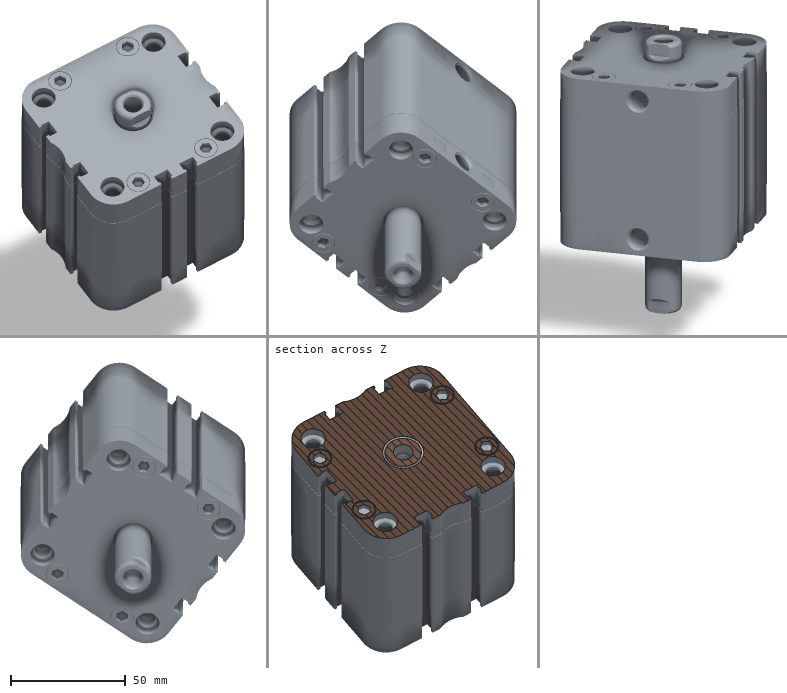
import cadquery as cq
import math

WIDTH = 77.0
CAP_HEIGHT = 13.9
BARREL_HEIGHT = 51.2
ROD_TOP_LENGTH = 8.0
ROD_BOTTOM_LENGTH = 38.0
HOUSING_TOP = BARREL_HEIGHT / 2 + CAP_HEIGHT
TOOL_OVERRUN = 1.2

CORNER_RADIUS = 11.9
CAP_INSET = 0.1
SLOT_OPENING = 5.2
SLOT_WIDTH = 6.8
SLOT_DEPTH = 5.2
SLOT_LIP = 1.6
SIDE_SLOT_OFFSET = 12.9
END_SLOT_OFFSET = 6.5
GROOVE_HALF_WIDTH = 6.0
GROOVE_DEPTH = 1.5
RIDGE_ROUND = 0.2

MOUNT_OFFSET = 28.2
MOUNT_COUNTERBORE = 10.5
MOUNT_COUNTERBORE_DEPTH = 4.5
MOUNT_HOLE = 6.6
MOUNT_CHAMFER = 0.6
SCREW_X = 32.1
SCREW_Y = 17.4
SCREW_HEAD = 9.8
SCREW_POCKET = 10.2
SCREW_GAP_DEPTH = 1.0
HEX_ACROSS_FLATS = 5.0
HEX_DEPTH = 3.0
PORT_DEPTH_BELOW_FACE = 7.5
PORT_HOLE = 8.6
PORT_MOUTH = 10.5
PORT_HOLE_DEPTH = 10.0
LABEL_OFFSET = 14.4
LABEL_WIDTH = 7.1
LABEL_HEIGHT = 5.0
LABEL_BELOW_FACE = 6.8
LABEL_DEPTH = 0.1
WIPER_RECESS = 17.8
WIPER_MOUTH = 18.0
WIPER_DEPTH = 1.0
ROD_CLEARANCE = 16.5

ROD_DIAMETER = 16.0
ROD_END_ROUND = 1.9
FLAT_ACROSS = 12.8
FLAT_LENGTH = 5.6
ROD_HOLE = 8.4
ROD_HOLE_MOUTH = 9.8
ROD_HOLE_DEPTH = 15.0
DRILL_TIP_HEIGHT = 2.5


def mirrored_positions(x, y):
    return [(sx * x, sy * y) for sx in (-1, 1) for sy in (-1, 1)]


def slot_cutter(height, inset):
    """T-slot opening through the face y = 0 towards -Y, centred on x = 0."""
    neck = (
        cq.Workplane("XY")
        .rect(SLOT_OPENING + 2 * inset, 2 * SLOT_LIP + 2 * inset)
        .extrude(height)
    )
    chamber_depth = SLOT_DEPTH - SLOT_LIP + 2 * inset
    chamber = (
        cq.Workplane("XY")
        .center(0, -SLOT_LIP + inset - chamber_depth / 2)
        .rect(SLOT_WIDTH + 2 * inset, chamber_depth)
        .extrude(height)
    )
    return neck.union(chamber)


def housing_block(height, inset):
    """Rounded square prism standing on z = 0 with the T-slots and hollow grooves along it."""
    half_width = WIDTH / 2
    side = WIDTH - 2 * inset
    block = (
        cq.Workplane("XY")
        .rect(side, side)
        .extrude(height)
        .edges("|Z")
        .fillet(CORNER_RADIUS - inset)
    )
    slot = slot_cutter(height, inset).translate((0, half_width, 0))
    for turn in (0, 180):
        for x in (-SIDE_SLOT_OFFSET, SIDE_SLOT_OFFSET):
            block = block.cut(slot.translate((x, 0, 0)).rotate((0, 0, 0), (0, 0, 1), turn))
    for x in (-END_SLOT_OFFSET, END_SLOT_OFFSET):
        block = block.cut(slot.translate((x, 0, 0)).rotate((0, 0, 0), (0, 0, 1), -90))

    groove_radius = (GROOVE_HALF_WIDTH**2 + GROOVE_DEPTH**2) / (2 * GROOVE_DEPTH)
    groove_centre = half_width - GROOVE_DEPTH + groove_radius
    grooves = (
        cq.Workplane("XY")
        .pushPoints([(0, -groove_centre), (0, groove_centre)])
        .circle(groove_radius + inset)
        .extrude(height)
    )
    return block.cut(grooves)


def cut_mounting_holes(cap):
    """Counterbored holes in the corners, chamfered at the counterbore floor."""
    hole_top = CAP_HEIGHT - MOUNT_COUNTERBORE_DEPTH
    radius = MOUNT_HOLE / 2
    mouth_radius = radius + MOUNT_CHAMFER
    counterbore_radius = MOUNT_COUNTERBORE / 2
    cutter = (
        cq.Workplane("XZ")
        .polyline([
            (0, 0),
            (radius, 0),
            (radius, hole_top - MOUNT_CHAMFER),
            (mouth_radius, hole_top),
            (counterbore_radius, hole_top),
            (counterbore_radius, CAP_HEIGHT),
            (0, CAP_HEIGHT),
        ])
        .close()
        .revolve(360, (0, 0, 0), (0, 1, 0))
    )
    for x, y in mirrored_positions(MOUNT_OFFSET, MOUNT_OFFSET):
        cap = cap.cut(cutter.translate((x, y, 0)))
    return cap


def cut_screw_heads(cap):
    """Ring gaps around the flush screw heads, and their hexagon sockets."""
    hex_corners = HEX_ACROSS_FLATS / math.cos(math.pi / 6)
    for x, y in mirrored_positions(SCREW_X, SCREW_Y):
        top = cq.Workplane("XY", origin=(x, y, CAP_HEIGHT))
        gap = top.circle(SCREW_POCKET / 2).circle(SCREW_HEAD / 2).extrude(-SCREW_GAP_DEPTH)
        socket = top.polygon(6, hex_corners).extrude(-HEX_DEPTH)
        if x < 0:
            socket = socket.rotate((x, y, 0), (x, y, 1), 90)
        cap = cap.cut(gap).cut(socket)
    return cap


def cut_port(cap):
    """Air port in the -X face, with a conical mouth."""
    face_x = -WIDTH / 2 + CAP_INSET
    mouth_depth = (PORT_MOUTH - PORT_HOLE) / 2
    face = cq.Workplane("YZ", origin=(face_x, 0, CAP_HEIGHT - PORT_DEPTH_BELOW_FACE))
    hole = face.circle(PORT_HOLE / 2).extrude(PORT_HOLE_DEPTH)
    mouth = face.circle(PORT_MOUTH / 2).workplane(offset=mouth_depth).circle(PORT_HOLE / 2).loft()
    return cap.cut(hole).cut(mouth)


def cut_label_recesses(cap):
    """Shallow rectangular recesses on both sides of the port."""
    recesses = (
        cq.Workplane("YZ", origin=(-WIDTH / 2 + CAP_INSET, 0, CAP_HEIGHT - LABEL_BELOW_FACE))
        .pushPoints([(-LABEL_OFFSET, 0), (LABEL_OFFSET, 0)])
        .rect(LABEL_WIDTH, LABEL_HEIGHT)
        .extrude(LABEL_DEPTH)
    )
    return cap.cut(recesses)


def cut_rod_passage(cap):
    """Clearance hole for the rod, with a wider recess at the outer face."""
    mouth_chamfer = (WIPER_MOUTH - WIPER_RECESS) / 2
    clearance = cq.Workplane("XY").circle(ROD_CLEARANCE / 2).extrude(CAP_HEIGHT)
    top = cq.Workplane("XY", origin=(0, 0, CAP_HEIGHT))
    recess = top.circle(WIPER_RECESS / 2).extrude(-WIPER_DEPTH)
    mouth = top.circle(WIPER_MOUTH / 2).workplane(offset=-mouth_chamfer).circle(WIPER_RECESS / 2).loft()
    return cap.cut(clearance).cut(recess).cut(mouth)


def make_cap():
    """End cap standing on z = 0 with its outer face up."""
    cap = housing_block(CAP_HEIGHT, CAP_INSET)
    cap = cut_mounting_holes(cap)
    cap = cut_screw_heads(cap)
    cap = cut_port(cap)
    cap = cut_label_recesses(cap)
    return cut_rod_passage(cap)


def round_ridges(block, height):
    """Round the slot and groove edges that lie in the -Y, +Y and +X faces."""
    face = WIDTH / 2
    reach = SIDE_SLOT_OFFSET + SLOT_WIDTH
    margin = RIDGE_ROUND / 2
    for low, high in (
        ((-reach, -face - margin, 0), (reach, -face + margin, height)),
        ((-reach, face - margin, 0), (reach, face + margin, height)),
        ((face - margin, -reach, 0), (face + margin, reach, height)),
    ):
        ridges = block.edges("|Z").edges(cq.selectors.BoxSelector(low, high))
        block = ridges.fillet(RIDGE_ROUND)
    return block


def make_barrel():
    """Profiled barrel between the caps, with a bore that guides the rod."""
    barrel = round_ridges(housing_block(BARREL_HEIGHT, 0), BARREL_HEIGHT)
    bore = cq.Workplane("XY").circle(ROD_DIAMETER / 2).extrude(BARREL_HEIGHT)
    return barrel.cut(bore).translate((0, 0, -BARREL_HEIGHT / 2))


def rod_end_cutter():
    """Tool for one rod end at z = 0, rod below: wrench flats with sloped ends, and the drilled hole."""
    half_flat = FLAT_ACROSS / 2
    outer = ROD_DIAMETER / 2 + TOOL_OVERRUN
    flat = (
        cq.Workplane("XZ")
        .polyline([
            (half_flat, TOOL_OVERRUN),
            (half_flat, -FLAT_LENGTH),
            (outer, -FLAT_LENGTH - (outer - half_flat)),
            (outer, TOOL_OVERRUN),
        ])
        .close()
        .extrude(ROD_DIAMETER / 2, both=True)
    )
    hole_radius = ROD_HOLE / 2
    mouth_radius = ROD_HOLE_MOUTH / 2
    hole = (
        cq.Workplane("XZ")
        .polyline([
            (0, 0),
            (mouth_radius, 0),
            (hole_radius, -(mouth_radius - hole_radius)),
            (hole_radius, -ROD_HOLE_DEPTH),
            (0, -ROD_HOLE_DEPTH - DRILL_TIP_HEIGHT),
        ])
        .close()
        .revolve(360, (0, 0, 0), (0, 1, 0))
    )
    return flat.union(flat.mirror("YZ")).union(hole)


def make_rod():
    """Through rod with rounded ends, the same flats and hole at both ends."""
    top = HOUSING_TOP + ROD_TOP_LENGTH
    bottom = -HOUSING_TOP - ROD_BOTTOM_LENGTH
    rod = (
        cq.Workplane("XY", origin=(0, 0, bottom))
        .circle(ROD_DIAMETER / 2)
        .extrude(top - bottom)
        .edges()
        .fillet(ROD_END_ROUND)
    )
    end = rod_end_cutter()
    rod = rod.cut(end.translate((0, 0, top)))
    return rod.cut(end.mirror("XY").translate((0, 0, bottom)))


barrel = make_barrel()
top_cap = make_cap().translate((0, 0, BARREL_HEIGHT / 2))
bottom_cap = top_cap.mirror("XY")
rod = make_rod()

result = cq.Compound.makeCompound([barrel.val(), top_cap.val(), bottom_cap.val(), rod.val()])